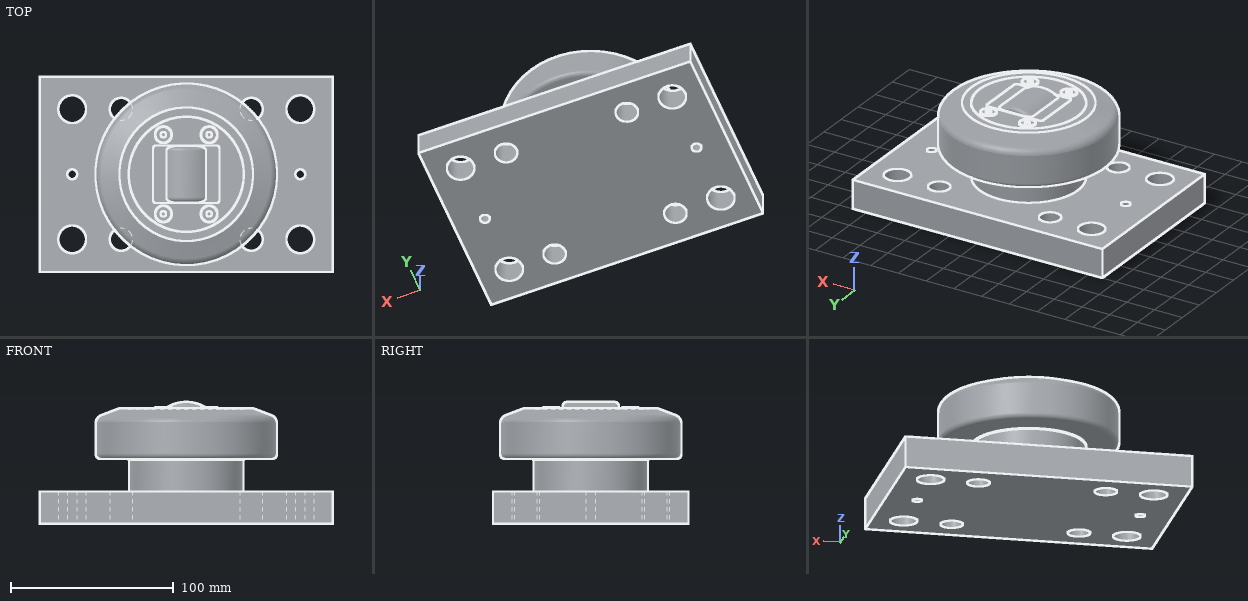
import cadquery as cq
import math

plate_length = 180.0
plate_width = 120.0
plate_thickness = 20.0
mount_hole_diameter = 17.0
inner_hole_diameter = 13.9
pin_hole_diameter = 6.0
outer_hole_x = 70.0
inner_hole_x = 40.0
hole_row_y = 40.0

journal_radius = 70.5 / 2
bore_radius = 71.0 / 2
roller_radius = 111.6 / 2
roller_bottom = 39.8
collar_height = 0.5
roller_top = 71.1
lower_rounding = 3.2
top_flat_radius = 41.0
cone_outer_radius = 52.4
cone_outer_z = 66.8
shoulder_z = 62.3

cap_radius = journal_radius
groove_depth = 0.9

block_length_x = 40.7
block_length_y = 35.5
block_corner_radius = 1.8
block_rise = 0.2
crown_width = 25.0
crown_length = 34.7
crown_top = 75.0
crown_end_rounding = 3.0

screw_x = 14.0
screw_y = 24.3
screw_diameter = 10.5
screw_top_diameter = 9.7
screw_rise = 0.5
socket_diameter = 3.5
socket_depth = 0.5


def mirrored(x, y):
    """Four points placed symmetrically about the X and Y axes."""
    return [(sx * x, sy * y) for sx in (-1, 1) for sy in (-1, 1)]


def make_plate():
    plate = cq.Workplane("XY").box(
        plate_length, plate_width, plate_thickness, centered=(True, True, False)
    )
    hole_groups = [
        (mirrored(outer_hole_x, hole_row_y), mount_hole_diameter),
        (mirrored(inner_hole_x, hole_row_y), inner_hole_diameter),
        ([(-outer_hole_x, 0), (outer_hole_x, 0)], pin_hole_diameter),
    ]
    for points, diameter in hole_groups:
        holes = cq.Workplane("XY").pushPoints(points).circle(diameter / 2).extrude(plate_thickness)
        plate = plate.cut(holes)
    return plate


def make_main_roller():
    """Journal, thin collar and roller as one half-profile revolved about Z."""
    chord_r = roller_radius - cone_outer_radius
    chord_z = cone_outer_z - shoulder_z
    chord = math.hypot(chord_r, chord_z)
    bulge = chord / 8
    shoulder_middle = (
        (roller_radius + cone_outer_radius) / 2 + bulge * chord_z / chord,
        (cone_outer_z + shoulder_z) / 2 + bulge * chord_r / chord,
    )
    arc_inset = lower_rounding * (1 - math.sqrt(0.5))
    profile = (
        cq.Workplane("XZ")
        .moveTo(0, plate_thickness)
        .lineTo(journal_radius, plate_thickness)
        .lineTo(journal_radius, roller_bottom - collar_height)
        .lineTo(bore_radius, roller_bottom - collar_height)
        .lineTo(bore_radius, roller_bottom)
        .lineTo(roller_radius - lower_rounding, roller_bottom)
        .threePointArc(
            (roller_radius - arc_inset, roller_bottom + arc_inset),
            (roller_radius, roller_bottom + lower_rounding),
        )
        .lineTo(roller_radius, shoulder_z)
        .threePointArc(shoulder_middle, (cone_outer_radius, cone_outer_z))
        .lineTo(top_flat_radius, roller_top)
        .lineTo(0, roller_top)
        .close()
    )
    return profile.revolve(360, (0, 0, 0), (0, 1, 0))


def make_cap_groove():
    return (
        cq.Workplane("XY", origin=(0, 0, roller_top))
        .circle(bore_radius)
        .circle(cap_radius)
        .extrude(-groove_depth)
    )


def make_block():
    return (
        cq.Workplane("XY", origin=(0, 0, roller_top))
        .rect(block_length_x, block_length_y)
        .extrude(block_rise)
        .edges("|Z")
        .fillet(block_corner_radius)
    )


def make_crown():
    """Cylinder segment along Y with rounded end edges."""
    segment = (
        cq.Workplane("XZ", origin=(0, crown_length / 2, 0))
        .moveTo(-crown_width / 2, roller_top)
        .threePointArc((0, crown_top), (crown_width / 2, roller_top))
        .close()
        .extrude(crown_length)
    )
    rise = crown_top - roller_top
    radius = ((crown_width / 2) ** 2 + rise**2) / (2 * rise)
    barrel = (
        cq.Workplane("XZ", origin=(0, crown_length / 2, crown_top - radius))
        .circle(radius)
        .extrude(crown_length)
        .edges("%CIRCLE")
        .fillet(crown_end_rounding)
    )
    return segment.intersect(barrel)


def make_screw_heads():
    chamfer = (screw_diameter - screw_top_diameter) / 2
    return (
        cq.Workplane("XY", origin=(0, 0, roller_top))
        .pushPoints(mirrored(screw_x, screw_y))
        .circle(screw_diameter / 2)
        .extrude(screw_rise)
        .faces(">Z")
        .edges()
        .chamfer(chamfer)
    )


def make_screw_sockets():
    return (
        cq.Workplane("XY", origin=(0, 0, roller_top + screw_rise))
        .pushPoints(mirrored(screw_x, screw_y))
        .circle(socket_diameter / 2)
        .extrude(-socket_depth)
    )


result = (
    make_plate()
    .union(make_main_roller())
    .cut(make_cap_groove())
    .union(make_block())
    .union(make_crown())
    .union(make_screw_heads())
    .cut(make_screw_sockets())
)